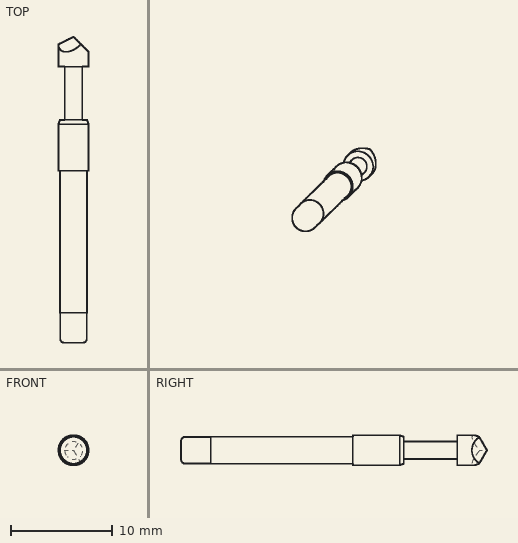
import cadquery as cq
import math

head_diameter = 3.0
stem_diameter = 1.75
sleeve_diameter = head_diameter
barrel_diameter = 2.7
tail_diameter = 2.67

overall_length = 30.3
tail_front = 2.97
sleeve_rear = 17.03
sleeve_front = 22.05
head_rear = 27.33

tail_rounding = 0.42
sleeve_chamfer_depth = 0.15
sleeve_chamfer_length = 0.42

tip_face_count = 3
tip_face_angle = 45.0


def cylinder(diameter, rear, front):
    """Solid cylinder along +Y between two stations."""
    return (
        cq.Workplane("XZ", origin=(0, rear, 0))
        .circle(diameter / 2)
        .extrude(-(front - rear))
    )


def make_sleeve():
    """Collar with a shallow chamfer on its front edge."""
    radius = sleeve_diameter / 2
    return (
        cq.Workplane("XY")
        .moveTo(0, sleeve_rear)
        .lineTo(radius, sleeve_rear)
        .lineTo(radius, sleeve_front - sleeve_chamfer_length)
        .lineTo(radius - sleeve_chamfer_depth, sleeve_front)
        .lineTo(0, sleeve_front)
        .close()
        .revolve(360, (0, 0, 0), (0, 1, 0))
    )


def make_head():
    """Cylindrical head ground to a three-sided point on the axis."""
    head = cylinder(head_diameter, head_rear, overall_length)
    reach = head_diameter
    drop = reach * math.tan(math.radians(tip_face_angle))
    waste = (
        cq.Workplane("XY")
        .moveTo(0, overall_length)
        .lineTo(reach, overall_length - drop)
        .lineTo(reach, overall_length)
        .close()
        .extrude(2 * head_diameter, both=True)
    )
    for face in range(tip_face_count):
        angle = face * 360 / tip_face_count
        head = head.cut(waste.rotate((0, 0, 0), (0, 1, 0), angle))
    return head


tail = cylinder(tail_diameter, 0, tail_front).faces("<Y").edges().fillet(tail_rounding)
barrel = cylinder(barrel_diameter, tail_front, sleeve_rear)
stem = cylinder(stem_diameter, sleeve_front, head_rear)

result = tail.union(barrel).union(make_sleeve()).union(stem).union(make_head())